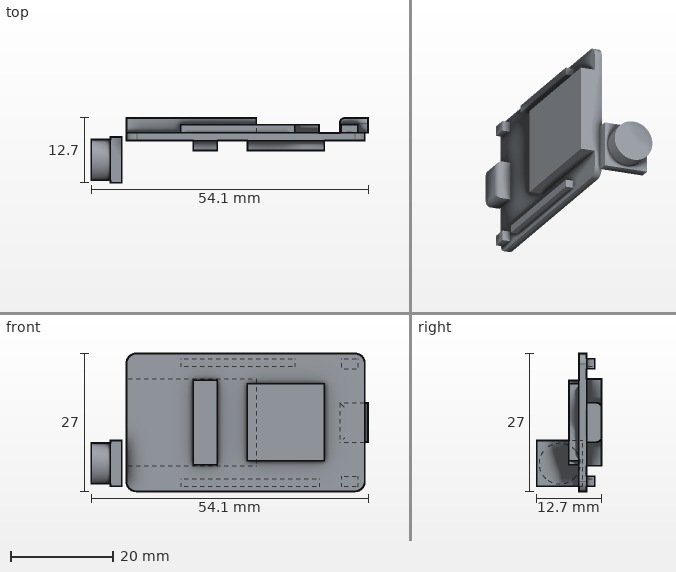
import cadquery as cq

board_length = 46.65
board_height = 27.0
board_thickness = 1.5
corner_radius = 2.0

housing_length = 25.4
housing_height = 17.0
housing_depth = 2.9

edge_margin = 1.05
low_part_depth = 1.6
header_left = 10.6
header_height = 1.45
upper_header_length = 22.35
lower_header_length = 27.05
button_left = 42.05
button_length = 3.15
button_height = 2.0

socket_length = 5.5
socket_height = 7.7
socket_overhang = 0.6
socket_rounding = 1.05

chip_depth = 1.95
narrow_chip_left = 13.05
narrow_chip_length = 4.75
narrow_chip_height = 16.45
square_chip_left = 23.65
square_chip_side = 15.05

overall_length = 54.1
overall_depth = 12.7
base_side = 9.0
base_thickness = 2.2
lens_diameter = 8.0
lens_length = 3.8
camera_center_z = -8.0

board_front = -board_thickness
socket_right = board_length + socket_overhang
lens_tip = socket_right - overall_length
base_left = lens_tip + lens_length
base_front = housing_depth - overall_depth
camera_center_y = base_front + base_side / 2


def block(left, front, center_z, length, depth, height):
    """Box placed by its left side, front side and mid-height."""
    box = cq.Workplane("XY").box(length, depth, height, centered=(False, False, True))
    return box.translate((left, front, center_z))


def make_plate():
    plate = block(0, board_front, 0, board_length, board_thickness, board_height)
    return plate.edges("|Y").fillet(corner_radius)


def make_edge_parts():
    """Header and button just inside the upper edge and inside the lower edge."""
    parts = []
    for side, header_length in ((1, upper_header_length), (-1, lower_header_length)):
        outer_z = board_height / 2 - edge_margin
        header_z = side * (outer_z - header_height / 2)
        button_z = side * (outer_z - button_height / 2)
        parts.append(block(header_left, 0, header_z, header_length, low_part_depth, header_height))
        parts.append(block(button_left, 0, button_z, button_length, low_part_depth, button_height))
    return parts


def make_socket():
    """Socket with its back edges rounded, except at the open right end."""
    left = socket_right - socket_length
    socket = block(left, 0, 0, socket_length, housing_depth, socket_height)
    return socket.faces(">Y").edges("|X or <X").fillet(socket_rounding)


def make_chips():
    chip_front = board_front - chip_depth
    narrow_chip = block(narrow_chip_left, chip_front, 0, narrow_chip_length, chip_depth, narrow_chip_height)
    square_chip = block(square_chip_left, chip_front, 0, square_chip_side, chip_depth, square_chip_side)
    return [narrow_chip, square_chip]


def make_circuit_board():
    board = make_plate()
    housing = block(0, 0, 0, housing_length, housing_depth, housing_height)
    for component in [housing, make_socket(), *make_edge_parts(), *make_chips()]:
        board = board.union(component)
    return board.solids()


def make_camera():
    base = block(base_left, base_front, camera_center_z, base_thickness, base_side, base_side)
    lens = (
        cq.Workplane("YZ", origin=(lens_tip, camera_center_y, camera_center_z))
        .circle(lens_diameter / 2)
        .extrude(lens_length)
    )
    return base.union(lens).solids()


circuit_board = make_circuit_board()
camera = make_camera()
result = cq.Compound.makeCompound([circuit_board.val(), camera.val()])